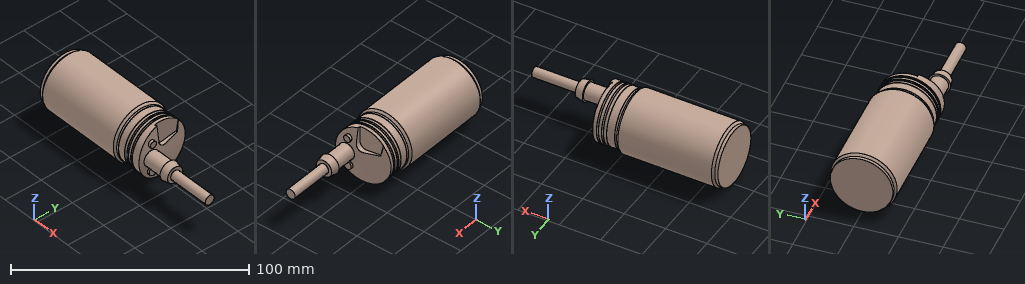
import cadquery as cq
import math

total_length = 101.0
body_radius = 15.0
neck_radius = 14.0
groove_radius = 13.8
front_rim_end = 1.5
front_chamfer_end = 2.6
body_end = 47.9
rear_chamfer_end = 49.0
cap_blank_end = 66.7

neck_grooves = [(50.0, 53.9), (55.4, 56.4), (57.9, 58.8)]

outlet_y = -7.5
stem_radius = 4.1
stem_end = 74.9
collar_base_radius = 5.0
collar_tip_radius = 4.2
collar_end = 78.9
cable_radius = 2.5

cone_tip_x = 64.4
cone_slope_angle = 10.0
cone_radius = 24.2

pocket_floor_x = 60.7
pocket_side_y = -2.8
pocket_corner_radius = 3.3
pocket_tilt = 10.0
pocket_base_z = 2.8
pocket_base_end_y = 9.0
pocket_mouth_y = 10.0
pocket_top_z = 16.2

pegs = [(7.2, 1.7), (-6.9, 2.3)]
peg_y = -7.0
peg_root_x = 61.1
peg_end = 64.3


def cylinder(start, end, radius, y=0, z=0):
    """Cylinder along X between two stations."""
    return cq.Workplane("YZ", origin=(start, y, z)).circle(radius).extrude(end - start)


def make_body():
    """Turned body: front rim, chamfered barrel and neck."""
    profile = [
        (0, 0),
        (0, neck_radius),
        (front_rim_end, neck_radius),
        (front_chamfer_end, body_radius),
        (body_end, body_radius),
        (rear_chamfer_end, neck_radius),
        (cap_blank_end, neck_radius),
        (cap_blank_end, 0),
    ]
    body = cq.Workplane("XY").polyline(profile).close().revolve(360, (0, 0, 0), (1, 0, 0))
    for start, end in neck_grooves:
        ring = cylinder(start, end, body_radius).cut(cylinder(start, end, groove_radius))
        body = body.cut(ring)
    return body


def make_cone_envelope():
    """Solid bounded at the rear by the shallow cone about the outlet axis."""
    cone_rim_x = cone_tip_x - cone_radius * math.tan(math.radians(cone_slope_angle))
    profile = [(0, 0), (0, cone_radius), (cone_rim_x, cone_radius), (cone_tip_x, 0)]
    cone = cq.Workplane("XY").polyline(profile).close().revolve(360, (0, 0, 0), (1, 0, 0))
    return cone.translate((0, outlet_y, 0))


def make_pocket():
    """Pocket open to the rear and to the side, with one rounded inner corner."""
    tilt = math.radians(pocket_tilt)
    center_y = pocket_side_y + pocket_corner_radius
    arc_end_y = center_y + pocket_corner_radius * math.sin(tilt)
    center_z = pocket_base_z + pocket_corner_radius * math.cos(tilt)
    mid_angle = (math.pi / 2 - tilt) / 2
    arc_mid = (
        center_y - pocket_corner_radius * math.cos(mid_angle),
        center_z - pocket_corner_radius * math.sin(mid_angle),
    )
    base_end_z = pocket_base_z + (pocket_base_end_y - arc_end_y) * math.tan(tilt)
    return (
        cq.Workplane("YZ", origin=(pocket_floor_x, 0, 0))
        .moveTo(pocket_side_y, pocket_top_z)
        .lineTo(pocket_side_y, center_z)
        .threePointArc(arc_mid, (arc_end_y, pocket_base_z))
        .lineTo(pocket_base_end_y, base_end_z)
        .lineTo(pocket_mouth_y, neck_radius / math.sqrt(2))
        .lineTo(pocket_mouth_y, pocket_top_z)
        .close()
        .extrude(cap_blank_end - pocket_floor_x)
    )


def make_outlet():
    """Stem, tapered collar and cable, rooted inside the cap."""
    profile = [
        (pocket_floor_x, 0),
        (pocket_floor_x, stem_radius),
        (stem_end, stem_radius),
        (stem_end, collar_base_radius),
        (collar_end, collar_tip_radius),
        (collar_end, cable_radius),
        (total_length, cable_radius),
        (total_length, 0),
    ]
    outlet = cq.Workplane("XY").polyline(profile).close().revolve(360, (0, 0, 0), (1, 0, 0))
    return outlet.translate((0, outlet_y, 0))


result = make_body().intersect(make_cone_envelope()).cut(make_pocket())
result = result.union(make_outlet())
for peg_z, peg_radius in pegs:
    result = result.union(cylinder(peg_root_x, peg_end, peg_radius, peg_y, peg_z))